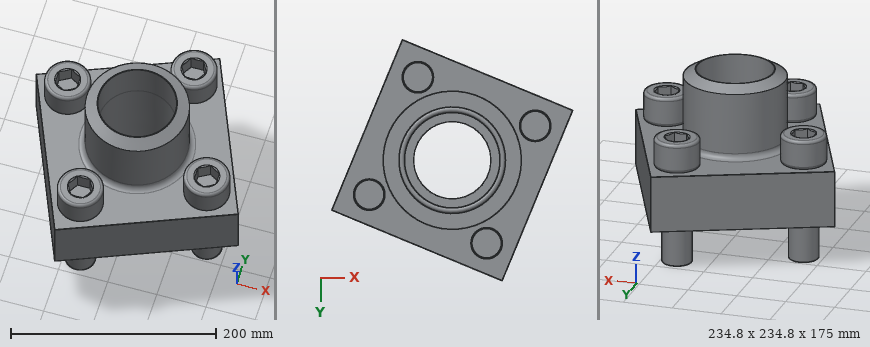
import cadquery as cq
import math

outer_size = 234.8
turn_angle = 22.5
edge_chamfer = 0.5
plate_thickness = 58.0
turn = math.radians(turn_angle)
plate_side = (outer_size + 2 * edge_chamfer * math.sin(turn)) / (math.cos(turn) + math.sin(turn))

face_diameter = 135.0
face_height = 2.0
flange_bottom = -plate_thickness - face_height

neck_diameter = 101.7
neck_height = 75.0
neck_fillet = 6.0
bevel_angle = 30.0
rim_diameter = 78.2
bevel_height = (neck_diameter - rim_diameter) / 2 * math.tan(math.radians(bevel_angle))

bore_diameter = 76.5
bore_bottom_diameter = 75.0
bore_straight_depth = 38.0

groove_outer_diameter = 104.3
groove_inner_diameter = 92.5
ring_section = 5.0
ring_protrusion = 1.5
ring_centre_diameter = (groove_outer_diameter + groove_inner_diameter) / 2
groove_depth = ring_section - ring_protrusion

screw_count = 4
screw_circle_diameter = 175.0
first_screw_angle = 45.0 + turn_angle
screw_length = 100.0
shank_diameter = 30.0
shank_tip_chamfer = 1.0
screw_hole_diameter = 31.0
head_diameter = 45.0
head_height = 30.0
head_fillet = 3.0
socket_corner_diameter = 25.4
socket_depth = 16.7
socket_countersink_angle = 30.0


def screw_places():
    """Angle, X and Y of each screw on the bolt circle."""
    places = []
    for index in range(screw_count):
        angle = first_screw_angle + index * 360.0 / screw_count
        x = screw_circle_diameter / 2 * math.cos(math.radians(angle))
        y = screw_circle_diameter / 2 * math.sin(math.radians(angle))
        places.append((angle, x, y))
    return places


def make_plate():
    """Square block with all edges chamfered, turned about Z."""
    plate = cq.Workplane("XY").rect(plate_side, plate_side).extrude(-plate_thickness)
    plate = plate.edges().chamfer(edge_chamfer)
    return plate.rotate((0, 0, 0), (0, 0, 1), turn_angle)


def make_sealing_face():
    """Thin disc under the plate with a chamfered lower edge."""
    disc = cq.Workplane("XY").workplane(offset=-plate_thickness)
    disc = disc.circle(face_diameter / 2).extrude(-face_height)
    return disc.faces("<Z").edges().chamfer(edge_chamfer)


def make_neck():
    """Solid of revolution: a bevelled pipe end blended into the plate by a fillet."""
    neck_radius = neck_diameter / 2
    foot_radius = neck_radius + neck_fillet
    arc_inset = neck_fillet * (1 - math.sqrt(0.5))
    return (
        cq.Workplane("XZ")
        .moveTo(0, -plate_thickness / 2)
        .lineTo(foot_radius, -plate_thickness / 2)
        .lineTo(foot_radius, 0)
        .threePointArc((neck_radius + arc_inset, arc_inset), (neck_radius, neck_fillet))
        .lineTo(neck_radius, neck_height - bevel_height)
        .lineTo(rim_diameter / 2, neck_height)
        .lineTo(0, neck_height)
        .close()
        .revolve(360, (0, 0, 0), (0, 1, 0))
    )


def make_bore():
    """Cutter for the through bore."""
    taper_start = neck_height - bore_straight_depth
    return (
        cq.Workplane("XZ")
        .moveTo(0, flange_bottom)
        .lineTo(bore_bottom_diameter / 2, flange_bottom)
        .lineTo(bore_diameter / 2, taper_start)
        .lineTo(bore_diameter / 2, neck_height)
        .lineTo(0, neck_height)
        .close()
        .revolve(360, (0, 0, 0), (0, 1, 0))
    )


def make_groove():
    """Cutter for the O-ring groove in the sealing face."""
    return (
        cq.Workplane("XY")
        .workplane(offset=flange_bottom)
        .circle(groove_outer_diameter / 2)
        .circle(groove_inner_diameter / 2)
        .extrude(groove_depth)
    )


def make_flange():
    """Plate, sealing face and neck as one body, with bore, groove and screw holes."""
    flange = make_plate().union(make_sealing_face()).union(make_neck())
    flange = flange.cut(make_bore()).cut(make_groove())
    centres = [(x, y) for _, x, y in screw_places()]
    holes = cq.Workplane("XY").pushPoints(centres).circle(screw_hole_diameter / 2).extrude(-plate_thickness)
    return flange.cut(holes)


def make_o_ring():
    """Torus resting on the groove floor and standing proud of the sealing face."""
    ring_centre_height = flange_bottom + groove_depth - ring_section / 2
    return (
        cq.Workplane("XZ")
        .center(ring_centre_diameter / 2, ring_centre_height)
        .circle(ring_section / 2)
        .revolve(360, (-ring_centre_diameter / 2, 0, 0), (-ring_centre_diameter / 2, 1, 0))
    )


def make_socket():
    """Cutter for the hexagon socket with a conical lead-in at the head top."""
    corner_radius = socket_corner_diameter / 2
    hexagon = (
        cq.Workplane("XY")
        .workplane(offset=head_height)
        .polygon(6, socket_corner_diameter)
        .extrude(-socket_depth)
    )
    cone_depth = corner_radius * math.tan(math.radians(socket_countersink_angle))
    cone = cq.Workplane("XY").add(
        cq.Solid.makeCone(0, corner_radius, cone_depth, pnt=cq.Vector(0, 0, head_height - cone_depth))
    )
    return hexagon.union(cone)


def make_screw(angle, x, y):
    """Socket head screw, its head resting on the plate; the hexagon turns with its place."""
    head = cq.Workplane("XY").circle(head_diameter / 2).extrude(head_height)
    head = head.edges().fillet(head_fillet)
    shank = cq.Workplane("XY").circle(shank_diameter / 2).extrude(-screw_length)
    shank = shank.faces("<Z").edges().chamfer(shank_tip_chamfer)
    screw = head.union(shank).cut(make_socket())
    return screw.rotate((0, 0, 0), (0, 0, 1), angle - first_screw_angle).translate((x, y, 0))


flange = make_flange()
o_ring = make_o_ring()
screws = [make_screw(angle, x, y) for angle, x, y in screw_places()]

result = cq.Compound.makeCompound([flange.val(), o_ring.val(), *[screw.val() for screw in screws]])